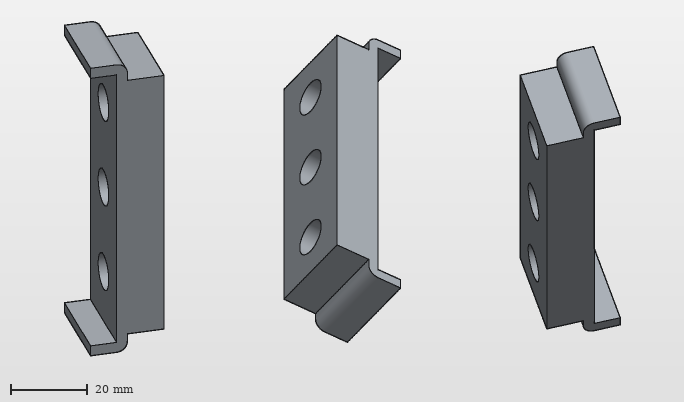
import cadquery as cq

width = 25.0
depth = 20.0
height = 85.0

sheet_thickness = 3.0
bend_radius = sheet_thickness
channel_depth = 10.0

block_height = 75.0
hole_diameter = 10.0
hole_pitch = 25.0
hole_count = 3

front_y = -depth / 2
back_y = depth / 2
channel_back_y = front_y + channel_depth
web_front_y = channel_back_y - sheet_thickness


def box_between(y_start, y_end, z_size):
    """Full-width box between two Y positions, centred on X and Z."""
    return (
        cq.Workplane("XY")
        .box(width, y_end - y_start, z_size)
        .translate((0, (y_start + y_end) / 2, 0))
    )


channel = box_between(front_y, channel_back_y, height).edges("|X and >Y").fillet(bend_radius)
channel = channel.cut(box_between(front_y, web_front_y, height - 2 * sheet_thickness))

block = box_between(web_front_y, back_y, block_height)

holes = (
    cq.Workplane("XZ", origin=(0, back_y, 0))
    .rarray(hole_pitch, hole_pitch, 1, hole_count)
    .circle(hole_diameter / 2)
    .extrude(depth)
)

result = channel.union(block).cut(holes)